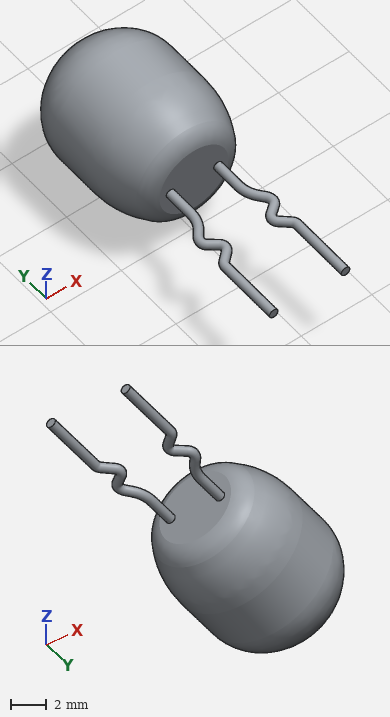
import cadquery as cq
import math

OVERALL_LENGTH = 21.55

BODY_DIAMETER = 8.9
BODY_RADIUS = BODY_DIAMETER / 2
BODY_LENGTH = 11.0
DOME_HEIGHT = 3.85
BAND_LENGTH = 3.0
SHOULDER_RADIUS = 3.51
SHOULDER_HEIGHT = 0.75
BASE_FLAT_RADIUS = 2.44

WIRE_RADIUS = 0.3
LEAD_LENGTH = OVERALL_LENGTH - BODY_LENGTH
LEAD_EMBED = 0.65
INNER_X = 1.68
OUTER_X = 2.55
FIRST_KINK_START = 1.88
OUTER_KNEE = 3.9
INNER_KNEE = 5.0
KINK_END = 6.17
ENTRY_BEND_RADIUS = 2.03
LONG_KNEE_RADIUS = 0.7
KNEE_RADIUS = 0.43


def make_body():
    band_top = BODY_LENGTH - DOME_HEIGHT
    band_bottom = band_top - BAND_LENGTH
    profile = (
        cq.Workplane("XY")
        .moveTo(0, BODY_LENGTH)
        .ellipseArc(BODY_RADIUS, DOME_HEIGHT, 0, 90, sense=-1)
        .lineTo(BODY_RADIUS, band_bottom)
        .tangentArcPoint((SHOULDER_RADIUS, SHOULDER_HEIGHT), relative=False)
        .tangentArcPoint((BASE_FLAT_RADIUS, 0), relative=False)
        .lineTo(0, 0)
        .close()
    )
    return profile.revolve(360, (0, 0, 0), (0, 1, 0))


def add_kink(path, start, end, first_radius, second_radius):
    """Sidestep downward in Y: two opposite arcs joined by their common tangent line."""
    step = end[0] - start[0]
    side = math.copysign(1, step)
    shift = abs(step)
    drop = start[1] - end[1]
    radius_sum = first_radius + second_radius
    straight = math.sqrt(shift**2 + drop**2 - 2 * shift * radius_sum)
    angle = math.atan2(shift - radius_sum, drop) + math.atan2(radius_sum, straight)

    def first_arc(turn):
        across = first_radius * (1 - math.cos(turn))
        return (start[0] + side * across, start[1] - first_radius * math.sin(turn))

    def second_arc(turn):
        across = second_radius * (1 - math.cos(turn))
        return (end[0] - side * across, end[1] + second_radius * math.sin(turn))

    return (
        path.threePointArc(first_arc(angle / 2), first_arc(angle))
        .lineTo(*second_arc(angle))
        .threePointArc(second_arc(angle / 2), end)
    )


def make_lead():
    kink_start = (INNER_X, -FIRST_KINK_START)
    outer_knee = (OUTER_X, -OUTER_KNEE)
    inner_knee = (INNER_X, -INNER_KNEE)
    kink_end = (OUTER_X, -KINK_END)
    path = cq.Workplane("XY").moveTo(INNER_X, LEAD_EMBED).lineTo(*kink_start)
    path = add_kink(path, kink_start, outer_knee, ENTRY_BEND_RADIUS, LONG_KNEE_RADIUS)
    path = add_kink(path, outer_knee, inner_knee, KNEE_RADIUS, KNEE_RADIUS)
    path = add_kink(path, inner_knee, kink_end, KNEE_RADIUS, KNEE_RADIUS)
    path = path.lineTo(OUTER_X, -LEAD_LENGTH)
    section = cq.Workplane("XZ", origin=(INNER_X, LEAD_EMBED, 0)).circle(WIRE_RADIUS)
    return section.sweep(path)


lead = make_lead()
result = make_body().union(lead).union(lead.mirror("YZ"))